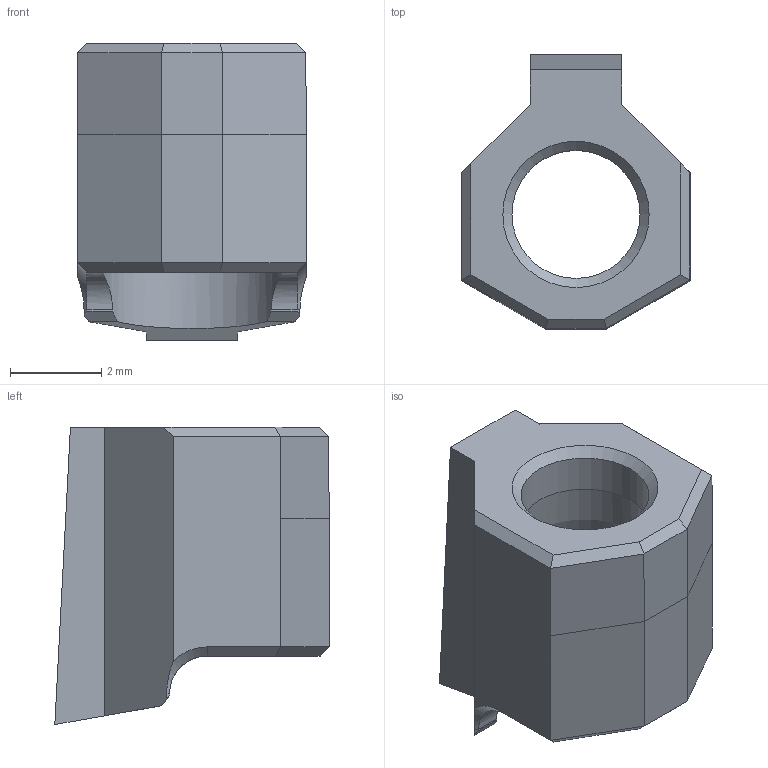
import cadquery as cq
import math

barrel_height = 5.0
barrel_radius = 2.5
split_height = 3.0
draft_angle = 0.35
edge_chamfer = 0.2
side_turn = math.radians(30)

tab_half_width = 1.0
tab_back = 3.5
tab_tip = -1.5
tab_lean_angle = 3.0
leg_bottom_angle = 10.0
shoulder_start = 0.914

leg_front = 0.99
relief_radius = 0.82
leg_chamfer_rise = 0.2
leg_chamfer_run = 0.17

hole_radius = 1.4
hole_bottom_radius = 2.0
flare_start = 3.97
flare_curve_radius = 5.5

clearance = 5.0


def outline_points(inset):
    """Plan outline; inset moves the +X side and the three front sides inward."""
    reach = barrel_radius - inset
    front_half = reach * math.tan(side_turn / 2)
    side_corner = -reach * math.tan(side_turn)
    left_corner = (barrel_radius * math.sin(side_turn) - reach) / math.cos(side_turn)
    shoulder_end = shoulder_start + barrel_radius - tab_half_width
    return [
        (front_half, -reach),
        (reach, side_corner),
        (reach, shoulder_start + inset),
        (tab_half_width, shoulder_end),
        (tab_half_width, tab_back),
        (-tab_half_width, tab_back),
        (-tab_half_width, shoulder_end),
        (-barrel_radius, shoulder_start),
        (-barrel_radius, left_corner),
        (-front_half, -reach),
    ]


def prism(bottom, top):
    return (
        cq.Workplane("XY").workplane(offset=bottom)
        .polyline(outline_points(0)).close()
        .extrude(top - bottom)
    )


def chamfer_barrel_edges(body, height):
    """Chamfer the side and front edges at one end, leaving shoulders and tab sharp."""
    low_y = -barrel_radius - clearance
    region = cq.selectors.BoxSelector(
        (-clearance, low_y, height - edge_chamfer / 2),
        (clearance, shoulder_start / 2, height + edge_chamfer / 2),
    )
    return body.edges(region).chamfer(edge_chamfer)


def make_barrel():
    upper_height = barrel_height - split_height
    inset = upper_height * math.tan(math.radians(draft_angle))
    upper = (
        cq.Workplane("XY").workplane(offset=split_height)
        .polyline(outline_points(0)).close()
        .workplane(offset=upper_height)
        .polyline(outline_points(inset)).close()
        .loft(ruled=True)
    )
    lower = chamfer_barrel_edges(prism(0, split_height), 0)
    return lower.union(chamfer_barrel_edges(upper, barrel_height))


def relief_profile(plane):
    """Space under the barrel and in front of the leg, rounded where they meet."""
    arc_center_y = leg_front - relief_radius
    diagonal = relief_radius * math.sqrt(0.5)
    return (
        plane.moveTo(-barrel_radius - clearance, 0)
        .lineTo(arc_center_y, 0)
        .threePointArc((arc_center_y + diagonal, diagonal - relief_radius), (leg_front, -relief_radius))
        .lineTo(leg_front, tab_tip - clearance)
        .lineTo(-barrel_radius - clearance, tab_tip - clearance)
        .close()
    )


def make_leg():
    """Part of the outline behind the relief, with the relief rim chamfered at both sides."""
    inner_half = barrel_radius - edge_chamfer
    leg = prism(tab_tip, split_height)
    leg = leg.cut(relief_profile(cq.Workplane("YZ")).extrude(inner_half, both=True))
    rim = relief_profile(cq.Workplane("YZ", origin=(inner_half, 0, 0))).extrude(2 * edge_chamfer, taper=-45)
    leg = leg.cut(rim).cut(rim.mirror("YZ"))
    front_space = (
        cq.Workplane("XY")
        .box(2 * clearance, clearance, 2 * clearance)
        .translate((0, leg_front - relief_radius - clearance / 2, 0))
    )
    return leg.cut(front_space)


def trim_tab(body):
    """Keep the side outline: leaning back, sloping underside and chamfered lower front edge."""
    top_back = tab_back - (barrel_height - tab_tip) * math.tan(math.radians(tab_lean_angle))
    slope = math.radians(leg_bottom_angle)
    leg_bottom = tab_tip + (tab_back - leg_front) * math.tan(slope)
    chamfer_bottom = (
        leg_front + leg_chamfer_run,
        leg_bottom - leg_chamfer_run * math.tan(slope),
    )
    side = (
        cq.Workplane("YZ")
        .polyline([
            (tab_back, tab_tip),
            (top_back, barrel_height),
            (-barrel_radius, barrel_height),
            (-barrel_radius, 0),
            (leg_front, leg_bottom + leg_chamfer_rise),
            chamfer_bottom,
        ])
        .close()
        .extrude(barrel_radius, both=True)
    )
    return body.intersect(side)


def make_hole():
    """Bore with a chamfered mouth that flares along an arc to a wider lower bore."""
    widening = hole_bottom_radius - hole_radius
    sweep = math.acos(1 - widening / flare_curve_radius)
    flare_end = flare_start - flare_curve_radius * math.sin(sweep)
    flare_middle = (
        hole_radius + flare_curve_radius * (1 - math.cos(sweep / 2)),
        flare_start - flare_curve_radius * math.sin(sweep / 2),
    )
    return (
        cq.Workplane("XZ")
        .moveTo(0, barrel_height)
        .lineTo(hole_radius + edge_chamfer, barrel_height)
        .lineTo(hole_radius, barrel_height - edge_chamfer)
        .lineTo(hole_radius, flare_start)
        .threePointArc(flare_middle, (hole_bottom_radius, flare_end))
        .lineTo(hole_bottom_radius, tab_tip)
        .lineTo(0, tab_tip)
        .close()
        .revolve(360, (0, 0), (0, 1))
    )


result = trim_tab(make_barrel().union(make_leg())).cut(make_hole())